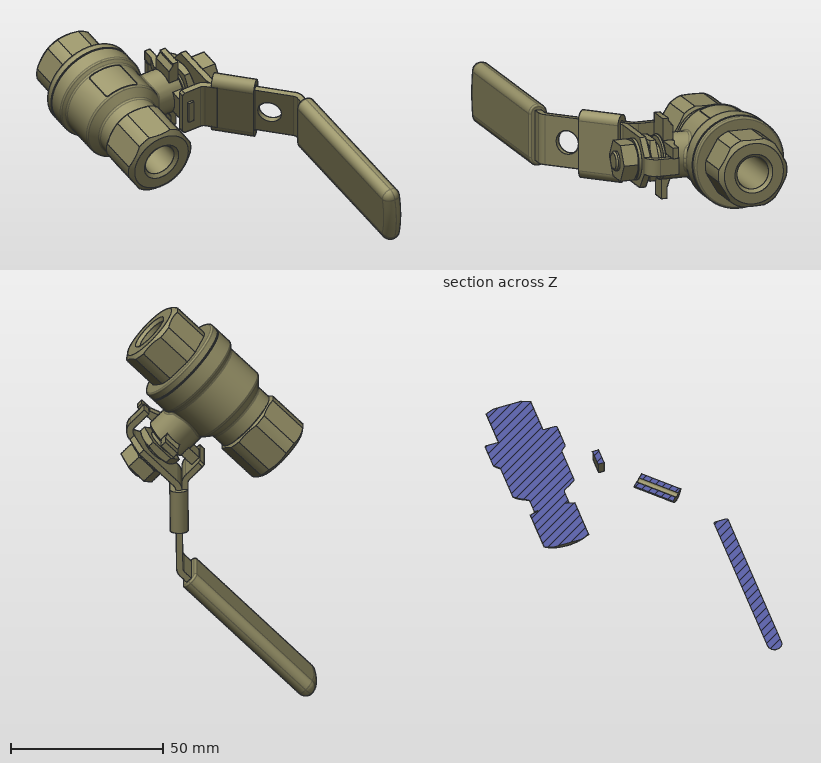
import cadquery as cq
import math


half_length = 30.0
hex_across_flats = 22.6
hex_corner_radius = 12.0
hex_face_radius = 10.3
hex_chamfer = 1.2
collar_start = -16.6
collar_end = -7.9
collar_radius = 15.55
collar_rounding = 0.6
joint_x = -13.8
joint_groove_width = 0.5
joint_groove_depth = 0.25
barrel_start = -6.4
barrel_end = 6.3
barrel_radius = 14.1
barrel_rounding = 1.0
waist_start = 9.2
waist_end = 14.2
waist_radius = 10.95
right_hex_back_chamfer = 0.8
bore_radius = 5.5
bore_mouth_radius = 6.6
bore_chamfer = bore_mouth_radius - bore_radius
selection_margin = 0.05

label_length = 11.4
label_width = 12.0
label_depth = 0.2
label_corner = 0.8
label_center_x = -0.2

neck_radius = 7.55
neck_top = 23.0
neck_chamfer = 0.5
neck_blend = 0.8
gland_radius = 4.75
stem_radius = 4.0
stem_end_radius = 3.3
stem_top = 38.1
stem_chamfer = 0.6
gland_nut_flats = 13.9
gland_nut_bottom = 24.8
gland_nut_top = 27.3
lever_nut_flats = 12.2
washer_radius = 6.9
washer_bottom = 30.6
lever_nut_bottom = 31.6
lever_nut_top = 36.9
nut_chamfer = 0.5

stop_top = 22.3
stop_thick = 3.5
stop_tip_thick = 2.0
wide_arm_reach = 14.0
wide_arm_half_width = 4.05
wide_arm_slope = (11.3, 13.2)
narrow_arm_reach = 13.7
narrow_arm_half_width = 2.85
side_arm_bottom = 2.85
side_arm_top = 6.5
narrow_arm_slope = (5.5, 9.8)

strip_thick = 2.1
strip_half_width = 8.55
plate_y = 29.55
tab_x = -11.9
tab_bottom = 19.9
tab_half_width = 2.85
taper_start_x = -4.7
taper_end_x = -9.1
bend_radius = 3.1
ramp_angle = 45.0
ramp_start_x = 12.35
grip_y = 50.5
ramp_end_x = ramp_start_x + (grip_y - plate_y) / math.tan(math.radians(ramp_angle))
strip_end_x = 60.0
hang_hole_diameter = 8.0
hang_hole_y = 43.9

sleeve_length = 14.3
sleeve_center_y = 35.35
sleeve_thick = 5.95
sleeve_half_width = 11.5
sleeve_wall = (sleeve_thick - strip_thick) / 2

hook_x = 12.2
hook_bottom = 18.4
hook_thick = 2.0
hook_corner_chamfer = 0.8

grip_start = 37.6
grip_end = 95.0
grip_thick = 6.1
grip_half_width = 10.4
grip_end_bulge = 1.5
grip_end_rounding = 0.7
grip_flat_strip = 0.04


def ramp_x(y):
    """X of the middle of the sloping part of the lever strip at height y."""
    return ramp_start_x + (y - plate_y) / math.tan(math.radians(ramp_angle))


def corner_to_corner(flats):
    """Size across the corners of a hexagon of the given size across flats."""
    return 2 * flats / math.sqrt(3)


def y_cylinder(radius, bottom, top):
    """Cylinder around the stem axis."""
    return cq.Workplane("XZ", origin=(0, bottom, 0)).circle(radius).extrude(bottom - top)


def x_hexagon(start, end, left_chamfer, right_chamfer):
    """Hexagon along X, flats facing up and down, turned down to the corner radius."""
    length = end - start
    prism = (
        cq.Workplane("YZ", origin=(start, 0, 0))
        .polygon(6, corner_to_corner(hex_across_flats))
        .extrude(length)
    )
    rim = hex_corner_radius - hex_face_radius
    turned = (
        cq.Workplane("XY")
        .moveTo(start, 0)
        .lineTo(start, hex_corner_radius - (rim if left_chamfer else 0))
        .lineTo(start + left_chamfer, hex_corner_radius)
        .lineTo(end - right_chamfer, hex_corner_radius)
        .lineTo(end, hex_corner_radius - rim)
        .lineTo(end, 0)
        .close()
        .revolve(360, (0, 0, 0), (1, 0, 0))
    )
    return prism.intersect(turned)


def make_barrel():
    """Turned middle of the body: collar with a joint groove, barrel, cone and waist."""
    groove_half = joint_groove_width / 2
    turned = (
        cq.Workplane("XY")
        .moveTo(collar_start, 0)
        .lineTo(collar_start, collar_radius - collar_rounding)
        .radiusArc((collar_start + collar_rounding, collar_radius), collar_rounding)
        .lineTo(joint_x - groove_half, collar_radius)
        .lineTo(joint_x, collar_radius - joint_groove_depth)
        .lineTo(joint_x + groove_half, collar_radius)
        .lineTo(collar_end, collar_radius)
        .lineTo(barrel_start, barrel_radius)
        .lineTo(barrel_end, barrel_radius)
        .lineTo(waist_start, waist_radius)
        .lineTo(waist_end, waist_radius)
        .lineTo(waist_end, 0)
        .close()
        .revolve(360, (0, 0, 0), (1, 0, 0))
    )
    corners = [(collar_end, collar_radius), (barrel_start, barrel_radius)]
    corners += [(barrel_end, barrel_radius), (waist_start, waist_radius)]
    for x, radius in corners:
        rim = cq.selectors.BoxSelector(
            (x - selection_margin, -radius, -radius),
            (x + selection_margin, radius, radius),
        )
        turned = turned.edges(rim).edges("%CIRCLE").fillet(barrel_rounding)
    return turned.rotate((0, 0, 0), (1, 0, 0), 90)


def make_body():
    """Body with neck; the corner where the neck meets the barrel is blended."""
    neck = y_cylinder(neck_radius, 0, neck_top).faces(">Y").chamfer(neck_chamfer)
    body = make_barrel().union(neck.rotate((0, 0, 0), (0, 1, 0), -90))
    junction = cq.selectors.BoxSelector(
        (-neck_radius - selection_margin, waist_radius, -neck_radius - selection_margin),
        (neck_radius + selection_margin, collar_radius, neck_radius + selection_margin),
    )
    return body.edges(junction).edges("%BSPLINE").fillet(neck_blend)


def make_label_recess():
    """Shallow rounded panel that follows the barrel surface."""
    panel = (
        cq.Workplane("XY")
        .center(label_center_x, 0)
        .rect(label_length, label_width)
        .extrude(2 * barrel_radius)
        .edges("|Z")
        .fillet(label_corner)
    )
    core = cq.Workplane("YZ").circle(barrel_radius - label_depth).extrude(half_length, both=True)
    return panel.cut(core)


def make_bore():
    """Through bore with a chamfered mouth at each end."""
    return (
        cq.Workplane("XY")
        .moveTo(-half_length, 0)
        .lineTo(-half_length, bore_mouth_radius)
        .lineTo(-half_length + bore_chamfer, bore_radius)
        .lineTo(half_length - bore_chamfer, bore_radius)
        .lineTo(half_length, bore_mouth_radius)
        .lineTo(half_length, 0)
        .close()
        .revolve(360, (0, 0, 0), (1, 0, 0))
    )


def make_nut(flats, bottom, top, chamfered_face):
    """Hexagon nut around the stem, corners along X, one face chamfered by turning."""
    corner_diameter = corner_to_corner(flats)
    nut = cq.Workplane("XZ", origin=(0, bottom, 0)).polygon(6, corner_diameter).extrude(bottom - top)
    turned = y_cylinder(corner_diameter / 2, bottom, top)
    turned = turned.faces(chamfered_face).chamfer(nut_chamfer, (corner_diameter - flats) / 2)
    return nut.intersect(turned)


def make_stem():
    """Gland, stem, the two nuts and the washer below the upper one."""
    gland = y_cylinder(gland_radius, neck_top, gland_nut_bottom)
    stem = y_cylinder(stem_radius, neck_top, washer_bottom)
    washer = y_cylinder(washer_radius, washer_bottom, lever_nut_bottom)
    stem_end = y_cylinder(stem_end_radius, lever_nut_bottom, stem_top).faces(">Y").chamfer(stem_chamfer)
    gland_nut = make_nut(gland_nut_flats, gland_nut_bottom, gland_nut_top, ">Y")
    lever_nut = make_nut(lever_nut_flats, lever_nut_bottom, lever_nut_top, "<Y")
    return gland.union(stem).union(washer).union(stem_end).union(gland_nut).union(lever_nut)


def make_stop_arm(reach, bottom, top, slope, turn):
    """One arm of the stop plate, thinned from below at its tip and turned around the stem axis."""
    slope_start, slope_end = slope
    arm = (
        cq.Workplane("XY", origin=(0, 0, bottom))
        .moveTo(0, stop_top)
        .lineTo(reach, stop_top)
        .lineTo(reach, stop_top - stop_tip_thick)
        .lineTo(slope_end, stop_top - stop_tip_thick)
        .lineTo(slope_start, stop_top - stop_thick)
        .lineTo(0, stop_top - stop_thick)
        .close()
        .extrude(top - bottom)
    )
    return arm.rotate((0, 0, 0), (0, 1, 0), turn)


def make_stop_plate():
    """Wide arms toward +X and +Z, a narrow arm toward -Z and an offset arm beside the pointer tab."""
    wide = wide_arm_half_width
    narrow = narrow_arm_half_width
    plate = make_stop_arm(wide_arm_reach, -wide, wide, wide_arm_slope, 0)
    plate = plate.union(make_stop_arm(wide_arm_reach, -wide, wide, wide_arm_slope, -90))
    plate = plate.union(make_stop_arm(narrow_arm_reach, -narrow, narrow, narrow_arm_slope, 90))
    offset_arm = make_stop_arm(narrow_arm_reach, -side_arm_top, -side_arm_bottom, narrow_arm_slope, 180)
    return plate.union(offset_arm)


def make_strip(center_line, thickness):
    """Bent strip of full lever width with every corner of its middle line rounded."""
    path = cq.Workplane("XY").polyline(center_line).wire().val()
    corners = path.Vertices()[1:-1]
    path = path.fillet(bend_radius, corners)
    start = cq.Vector(*center_line[0])
    direction = cq.Vector(*center_line[1]) - start
    section = cq.Plane(origin=start.toTuple(), xDir=(0, 0, 1), normal=direction.toTuple())
    return cq.Workplane(section).rect(2 * strip_half_width, thickness).sweep(cq.Workplane(path))


def make_lever():
    """Lever strip: pointer tab, plate on the stem, ramp and tang inside the grip."""
    strip = make_strip(
        [
            (tab_x, tab_bottom),
            (tab_x, plate_y),
            (ramp_start_x, plate_y),
            (ramp_end_x, grip_y),
            (strip_end_x, grip_y),
        ],
        strip_thick,
    )
    outline = (
        cq.Workplane("XZ")
        .moveTo(strip_end_x, strip_half_width)
        .lineTo(taper_start_x, strip_half_width)
        .lineTo(taper_end_x, tab_half_width)
        .lineTo(-half_length, tab_half_width)
        .lineTo(-half_length, -tab_half_width)
        .lineTo(taper_end_x, -tab_half_width)
        .lineTo(taper_start_x, -strip_half_width)
        .lineTo(strip_end_x, -strip_half_width)
        .close()
        .extrude(-2 * grip_y)
    )
    return strip.intersect(outline)


def ramp_plane(y):
    """Plane across the sloping part at height y: local X along Z, normal up the slope."""
    angle = math.radians(ramp_angle)
    slope = (math.cos(angle), math.sin(angle), 0)
    return cq.Plane(origin=(ramp_x(y), y, 0), xDir=(0, 0, 1), normal=slope)


def make_hang_hole():
    """Hole square through the sloping part of the lever."""
    angle = math.radians(ramp_angle)
    through = (-math.sin(angle), math.cos(angle), 0)
    plane = cq.Plane(origin=(ramp_x(hang_hole_y), hang_hole_y, 0), xDir=(0, 0, 1), normal=through)
    return cq.Workplane(plane).circle(hang_hole_diameter / 2).extrude(2 * strip_thick, both=True)


def make_sleeve():
    """Flat oval locking sleeve that slides on the sloping part."""
    half = sleeve_length / 2
    plane = ramp_plane(sleeve_center_y)
    slot_width = 2 * (sleeve_half_width - sleeve_wall)
    outer = cq.Workplane(plane).slot2D(2 * sleeve_half_width, sleeve_thick).extrude(half, both=True)
    slot = cq.Workplane(plane).slot2D(slot_width, strip_thick).extrude(half, both=True)
    return outer.cut(slot)


def make_hook():
    """Locking hook bent down from the sleeve over the stop plate."""
    angle = math.radians(ramp_angle)
    drop = (strip_thick + hook_thick) / 2 / math.cos(angle)
    bend_y = plate_y - drop + (hook_x - ramp_start_x) * math.tan(angle)
    sleeve_foot_y = sleeve_center_y - sleeve_length / 2 * math.sin(angle)
    foot_x = ramp_x(sleeve_foot_y + drop)
    hook = make_strip([(hook_x, hook_bottom), (hook_x, bend_y), (foot_x, sleeve_foot_y)], hook_thick)
    return hook.faces("<Y").edges("|X").chamfer(hook_corner_chamfer)


def make_grip():
    """Grip with fully rounded long edges and a bulged, rounded free end."""
    corner_x = grip_end - grip_end_bulge
    rounding = (grip_thick - grip_flat_strip) / 2
    return (
        cq.Workplane("XZ", origin=(0, grip_y - grip_thick / 2, 0))
        .moveTo(grip_start, grip_half_width)
        .lineTo(corner_x, grip_half_width)
        .threePointArc((grip_end, 0), (corner_x, -grip_half_width))
        .lineTo(grip_start, -grip_half_width)
        .close()
        .extrude(-grip_thick)
        .edges("|Y and (not <X)")
        .fillet(rounding)
        .faces(">Y or <Y")
        .edges("not <X")
        .fillet(rounding)
        .faces("<X")
        .edges()
        .fillet(grip_end_rounding)
    )


left_hex = x_hexagon(-half_length, collar_start, hex_chamfer, 0)
right_hex = x_hexagon(waist_end, half_length, right_hex_back_chamfer, hex_chamfer)
body = make_body().union(left_hex).union(right_hex).cut(make_label_recess()).cut(make_bore())
lever = make_lever().cut(make_hang_hole()).union(make_sleeve()).union(make_hook()).union(make_grip())
result = body.union(make_stem()).union(make_stop_plate()).union(lever)